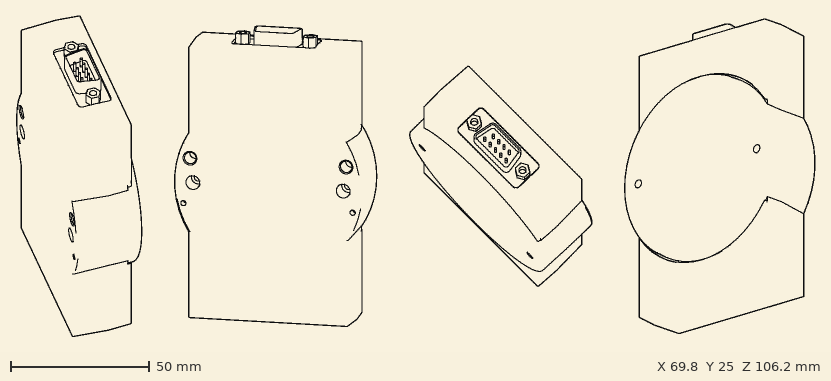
import cadquery as cq
import math

body_width = 60.1
body_height = 102.0
front_depth = 13.6
back_depth = 9.0
body_draft = 2.0
body_edge_round = 0.5
body_corner_round = 0.4

hub_diameter = 69.8
hub_back_depth = 11.4
hub_back_draft = 1.0
hub_edge_round = 0.5

groove_radius = 35.6
groove_floor = 7.5

screw_x = 27.9
screw_hole_radius = 1.5
screw_head_radius = 2.5
screw_head_depth = 8.5
plug_x, plug_z = 29.0, 9.0
plug_radius = 2.1
plug_rim_radius = 2.5
plug_depth = 8.5
pin_hole_x, pin_hole_z = 31.5, -7.9
pin_hole_radius = 1.0
pin_hole_depth = 4.2

recess_length = 31.0
recess_width = 12.5
recess_corner = 1.5
recess_depth = 1.3

shell_top = 55.2
shell_length = 18.3
shell_width = 9.5
shell_slant = 10.0
shell_corner = 1.7
shell_wall = 0.6
shell_edge_round = 0.3

contact_pitch = 2.8
contact_row_offset = 1.5
contact_radius = 0.4
contact_top = 53.7

standoff_x = 12.5
standoff_flats = 4.8
standoff_top = 53.5
standoff_hole_radius = 1.3
standoff_hole_depth = 4.2
drill_tip_angle = 118.0

body_top = body_height / 2
recess_floor = body_top - recess_depth

front_plane = cq.Plane((0, 0, 0), xDir=(1, 0, 0), normal=(0, -1, 0))
back_plane = cq.Plane((0, 0, 0), xDir=(1, 0, 0), normal=(0, 1, 0))
front_face = cq.Plane((0, -front_depth, 0), xDir=(1, 0, 0), normal=(0, -1, 0))


def box_half(plane, depth, end):
    """One drafted half of the box with its four corners and its end edges rounded."""
    half = cq.Workplane(plane).rect(body_width, body_height).extrude(depth, taper=body_draft)
    half = half.edges("not(|X or |Z)").fillet(body_corner_round)
    return half.faces(end).edges().fillet(body_edge_round)


def hub_half(plane, depth, draft, end):
    """One half of the hub with its rim rounded."""
    half = cq.Workplane(plane).circle(hub_diameter / 2).extrude(depth, taper=draft)
    return half.faces(end).edges().fillet(hub_edge_round)


def hole_pair(x, z, radius, depth):
    """Mirrored pair of round holes sunk into the front face."""
    return cq.Workplane(front_face).pushPoints([(-x, z), (x, z)]).circle(radius).extrude(-depth)


def d_shell():
    """Thin D-shaped tube standing on the recess floor, with a rounded outer top edge."""
    half_width = shell_width / 2
    lean = shell_width * math.tan(math.radians(shell_slant))
    wide = shell_length / 2
    narrow = wide - lean
    outline = [(-wide, half_width), (wide, half_width), (narrow, -half_width), (-narrow, -half_width)]
    height = shell_top - recess_floor
    block = cq.Workplane("XY").workplane(offset=recess_floor).polyline(outline).close().extrude(height)
    block = block.edges("|Z").fillet(shell_corner)
    cavity = block.faces("<Z").wires().toPending().offset2D(-shell_wall).extrude(height, combine=False)
    return block.faces(">Z").edges().fillet(shell_edge_round).cut(cavity)


result = box_half(front_plane, front_depth, "<Y")
result = result.union(box_half(back_plane, back_depth, ">Y"))
groove = cq.Workplane(back_plane).workplane(offset=groove_floor).circle(groove_radius)
result = result.cut(groove.extrude(back_depth - groove_floor))

result = result.union(hub_half(front_plane, front_depth, 0, "<Y"))
result = result.union(hub_half(back_plane, hub_back_depth, hub_back_draft, ">Y"))

result = result.cut(hole_pair(screw_x, 0, screw_hole_radius, front_depth + hub_back_depth))
result = result.cut(hole_pair(screw_x, 0, screw_head_radius, screw_head_depth))

result = result.cut(hole_pair(plug_x, plug_z, plug_radius, plug_depth))
rim_depth = plug_rim_radius - plug_radius
rim_profile = [(0, -front_depth), (plug_rim_radius, -front_depth),
               (plug_radius, rim_depth - front_depth), (0, rim_depth - front_depth)]
rim = cq.Workplane("XY").polyline(rim_profile).close().revolve()
for x in (-plug_x, plug_x):
    result = result.cut(rim.translate((x, 0, plug_z)))
result = result.cut(hole_pair(pin_hole_x, pin_hole_z, pin_hole_radius, pin_hole_depth))

recess = cq.Workplane("XY").workplane(offset=recess_floor).rect(recess_length, recess_width)
result = result.cut(recess.extrude(shell_top - recess_floor).edges("|Z").fillet(recess_corner))

result = result.union(d_shell())

contacts = []
for count, y in ((5, contact_row_offset), (4, -contact_row_offset)):
    contacts += [((i - (count - 1) / 2) * contact_pitch, y) for i in range(count)]
pins = cq.Workplane("XY").workplane(offset=recess_floor).pushPoints(contacts).circle(contact_radius)
result = result.union(pins.extrude(contact_top - recess_floor))

corner_radius = standoff_flats / math.sqrt(3)
corners = [(corner_radius * math.sin(math.radians(60 * i)), corner_radius * math.cos(math.radians(60 * i)))
           for i in range(6)]
tip_depth = standoff_hole_radius / math.tan(math.radians(drill_tip_angle / 2))
bore_floor = standoff_top - standoff_hole_depth
bore_profile = [(0, standoff_top), (standoff_hole_radius, standoff_top),
                (standoff_hole_radius, bore_floor), (0, bore_floor - tip_depth)]
for x in (-standoff_x, standoff_x):
    base = cq.Workplane("XY").workplane(offset=recess_floor).center(x, 0)
    hexagon = base.polyline(corners).close().extrude(standoff_top - recess_floor)
    bore = cq.Workplane("XZ").polyline(bore_profile).close().revolve().translate((x, 0, 0))
    result = result.union(hexagon).cut(bore)